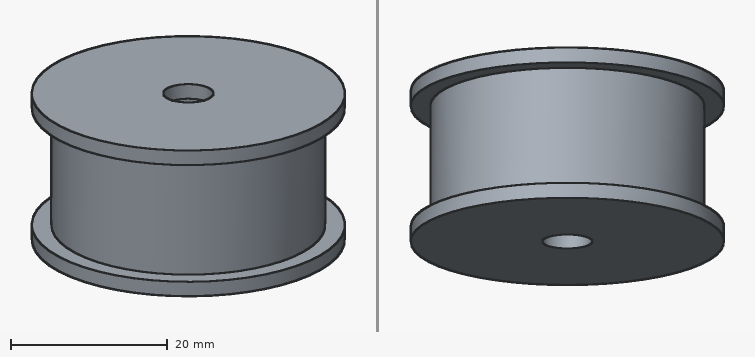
import cadquery as cq

flange_diameter = 40.0
drum_diameter = 35.0
cavity_diameter = 30.0
bore_diameter = 6.4
total_height = 20.0
flange_thickness = 2.0

drum_height = total_height - 2 * flange_thickness
upper_flange_base = total_height - flange_thickness


def disc(diameter, height, base_z):
    """Solid disc centred on the Z axis, standing on base_z."""
    return cq.Workplane("XY").workplane(offset=base_z).circle(diameter / 2).extrude(height)


drum = disc(drum_diameter, drum_height, flange_thickness)
lower_flange = disc(flange_diameter, flange_thickness, 0)
upper_flange = disc(flange_diameter, flange_thickness, upper_flange_base)
spool = drum.union(lower_flange).union(upper_flange)

cavity = disc(cavity_diameter, drum_height, flange_thickness)
bore = disc(bore_diameter, total_height, 0)

result = spool.cut(cavity).cut(bore)